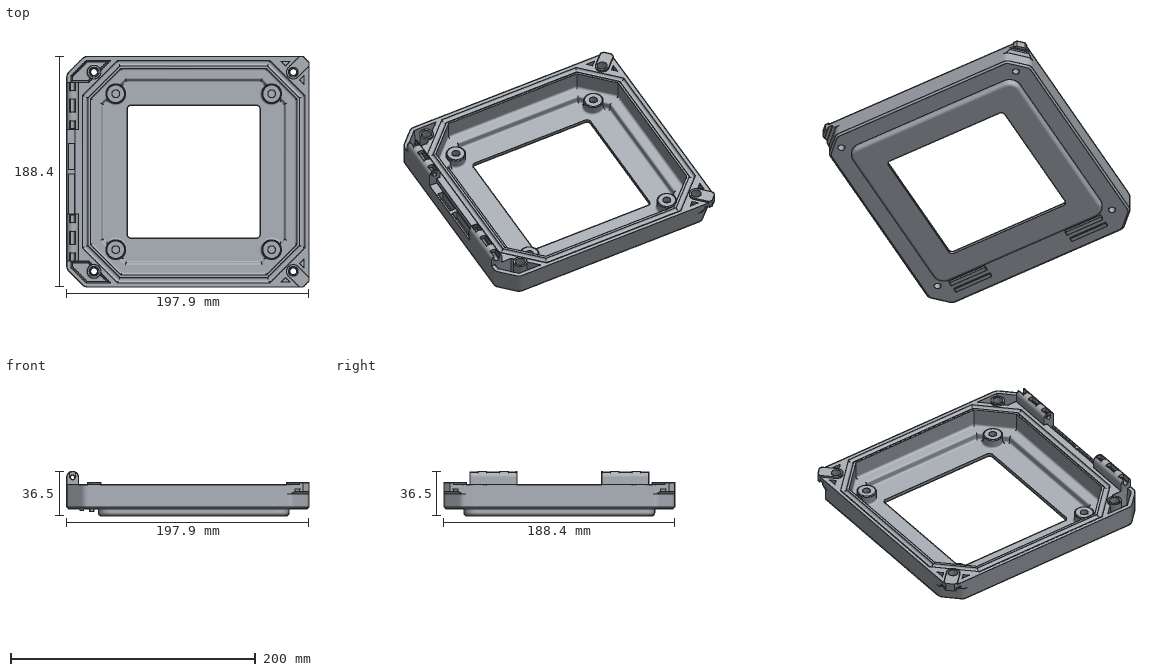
import cadquery as cq
import math

overall_length = 197.9
overall_width = 188.4
frame_half = overall_width / 2
left_edge = frame_half - overall_length
base_z = 6.0
top_z = 25.7
bottom_chamfer = 1.5
corner_leg = 14.6
corner_radius = 6.7

octagon_leg = 30.7
groove_inset = 3.4
groove_width = 4.5
groove_radius = 2.0
cavity_inset = 9.9
cavity_floor_z = 9.1
cavity_fillet = 2.0
recess_inset = 19.4
recess_taper = 3.0
recess_fillet = 1.5

panel_size = 155.7
panel_radius = 9.9
panel_bottom_fillet = 2.8
floor_thickness = 3.0
window_size = 108.5
window_radius = 3.2

boss_spacing = 127.2
boss_diameter = 16.0
boss_top_z = 11.9
boss_top_chamfer = 0.8
boss_foot_fillet = 1.8
boss_hole_diameter = 6.3
boss_hole_depth = 6.0

screw_spacing = 162.6
screw_hole_diameter = 5.5
screw_recess_diameter = 8.0
screw_recess_depth = 11.9
pad_diameter = 11.0
pad_top_z = 27.3

pocket_inset = 3.4
pocket_floor_z = 9.9
pocket_taper = 5.0
pocket_rib = 4.0
column_foot_fillet = 1.4

overhang = 7.0
overhang_root_z = 18.0
overhang_underside_z = 20.2
overhang_overlap = 6.0
pry_groove_width = 2.8
pry_groove_depth = 2.0

triangle_depth = 9.9
triangle_inset = 4.2
triangle_rib = 2.5
triangle_pad_gap = 2.5

hinge_width = 9.7
hinge_inner_y = 34.5
hinge_outer_y = 73.0
hinge_top_z = 36.5
pin_diameter = 3.5
slot_width = 4.7
slot_spans = [(35.2, 41.5), (48.7, 59.4), (66.3, hinge_outer_y)]

ledge_z = 20.8
ledge_width = 6.7
ledge_lip = 1.5
ledge_pocket_width = 4.7
ledge_pocket_depth = 8.0
ledge_pocket_spans = [(1.8, 23.0), (-hinge_inner_y, -1.8)]

bar_inner_y = 37.4
bar_outer_y = 70.6
bar_sizes = [(10.7, 3.2, 1.5), (18.8, 3.4, 2.4)]

ROOT2 = math.sqrt(2)
octagon_sum = 2 * frame_half - octagon_leg
overhang_root = (2 * frame_half - corner_leg) / ROOT2
overhang_tip = overhang_root + overhang


def box(x0, x1, y0, y1, z0, z1):
    return cq.Workplane("XY").box(x1 - x0, y1 - y0, z1 - z0, centered=False).translate((x0, y0, z0))


def rod(diameter, x, y, z0, z1):
    return cq.Workplane("XY", origin=(x, y, z0)).circle(diameter / 2).extrude(z1 - z0)


def post(diameter, x, y, z0, z1, foot):
    """Round post whose foot flares out in a fillet of radius `foot`."""
    radius = diameter / 2
    arc_middle = foot * (1 - 1 / ROOT2)
    profile = (
        cq.Workplane("XZ")
        .moveTo(0, z0)
        .lineTo(radius + foot, z0)
        .threePointArc((radius + arc_middle, z0 + arc_middle), (radius, z0 + foot))
        .lineTo(radius, z1)
        .lineTo(0, z1)
        .close()
    )
    return profile.revolve(360, (0, 0, 0), (0, 1, 0)).translate((x, y, 0))


def both_sides(shape):
    """The shape together with its mirror image across the XZ plane."""
    return shape.union(shape.mirror("XZ"))


def turned_to_corner(shape):
    """Turns a shape built along +X to the (+X, +Y) diagonal and trims it to the frame square."""
    turned = shape.rotate((0, 0, 0), (0, 0, 1), 45)
    return turned.intersect(box(0, frame_half, 0, frame_half, 0, pad_top_z))


def square_pattern(spacing):
    return [(sx * spacing / 2, sy * spacing / 2) for sx in (-1, 1) for sy in (-1, 1)]


def octagon(inset, z):
    half = frame_half - inset
    short = octagon_sum - inset * ROOT2 - half
    points = [
        (half, -short), (half, short), (short, half), (-short, half),
        (-half, short), (-half, -short), (-short, -half), (short, -half),
    ]
    return cq.Workplane("XY", origin=(0, 0, z)).polyline(points).close()


def frame_block():
    block = box(left_edge, frame_half, -frame_half, frame_half, base_z, top_z)
    block = block.edges("|Z").chamfer(corner_leg)
    block = block.edges("|Z").fillet(corner_radius)
    return block.faces("<Z").edges().chamfer(bottom_chamfer)


def panel():
    plate = cq.Workplane("XY").rect(panel_size, panel_size).extrude(cavity_floor_z)
    plate = plate.edges("|Z").fillet(panel_radius)
    return plate.faces("<Z").edges().fillet(panel_bottom_fillet)


def window():
    opening = cq.Workplane("XY").rect(window_size, window_size).extrude(floor_thickness)
    return opening.edges("|Z").fillet(window_radius)


def gasket_groove():
    """Groove around the rim: two quarter arcs joined by a narrow flat bottom."""
    centre_inset = groove_inset + groove_width / 2
    start_y = frame_half - octagon_sum + centre_inset * (ROOT2 - 1)
    half = groove_width / 2
    flat_half = half - groove_radius
    arc_x = flat_half + groove_radius / ROOT2
    arc_z = -groove_radius / ROOT2
    section = (
        cq.Workplane("XZ", origin=(frame_half - centre_inset, start_y, top_z))
        .moveTo(-half, 0)
        .threePointArc((-arc_x, arc_z), (-flat_half, -groove_radius))
        .lineTo(flat_half, -groove_radius)
        .threePointArc((arc_x, arc_z), (half, 0))
        .close()
    )
    return section.sweep(octagon(centre_inset, top_z), transition="right")


def interior():
    """Space inside the walls: the main cavity and the rounded step down to the window panel."""
    cavity = octagon(cavity_inset, cavity_floor_z).extrude(top_z - cavity_floor_z)
    cavity = cavity.faces("<Z").edges().fillet(cavity_fillet)
    recess_depth = cavity_floor_z - floor_thickness
    recess = octagon(recess_inset, cavity_floor_z).extrude(-recess_depth, taper=recess_taper)
    recess = recess.faces("<Z").edges().fillet(recess_fillet)
    reach = (panel_size / 2 + frame_half - cavity_inset - cavity_fillet) / 2
    rim = cq.selectors.BoxSelector(
        (-reach, -reach, cavity_floor_z - recess_fillet / 2),
        (reach, reach, cavity_floor_z + recess_fillet / 2),
        boundingbox=True,
    )
    return cavity.union(recess).edges(rim).fillet(recess_fillet)


def corner_overhang():
    """Corner block over the chamfered frame corner, with a pry groove in its underside."""
    inner = overhang_root - overhang_overlap
    groove_start = overhang_root + overhang_underside_z - overhang_root_z
    groove_end = groove_start + pry_groove_width
    groove_top_z = overhang_underside_z + pry_groove_depth
    points = [
        (inner, overhang_root_z),
        (overhang_root, overhang_root_z),
        (groove_start, overhang_underside_z),
        (groove_start, groove_top_z),
        (groove_end, groove_top_z),
        (groove_end, overhang_underside_z),
        (overhang_tip, overhang_underside_z),
        (overhang_tip, top_z),
        (inner, top_z),
    ]
    block = cq.Workplane("XZ").polyline(points).close().extrude(2 * corner_leg, both=True)
    return turned_to_corner(block)


def corner_pad():
    """Raised strip around the screw, running out to the overhanging corner."""
    screw = screw_spacing / ROOT2
    strip = box(screw, overhang_tip, -pad_diameter / 2, pad_diameter / 2, top_z, pad_top_z)
    return turned_to_corner(strip.union(rod(pad_diameter, screw, 0, top_z, pad_top_z)))


def corner_triangles():
    """Pair of triangular pockets between the pad, the groove and the frame sides."""
    outer = frame_half - triangle_inset
    rib_sum = octagon_sum + triangle_rib * ROOT2
    pad_difference = (pad_diameter / 2 + triangle_pad_gap) * ROOT2
    point_x = (rib_sum - pad_difference) / 2
    points = [
        (rib_sum - outer, outer),
        (outer - pad_difference, outer),
        (point_x, rib_sum - point_x),
    ]
    swapped = [(y, x) for x, y in points]
    plane = cq.Workplane("XY", origin=(0, 0, top_z))
    return plane.polyline(points).close().polyline(swapped).close().extrude(-triangle_depth)


def corner_pocket():
    """Deep tapered pocket between the hinge, the outer walls and the octagon rib."""
    left = left_edge + pocket_inset
    outer = frame_half - pocket_inset
    chamfer_sum = frame_half - left_edge - corner_leg - pocket_inset * ROOT2
    rib_sum = octagon_sum + (pocket_rib - groove_inset) * ROOT2
    points = [
        (left, hinge_outer_y),
        (left, chamfer_sum + left),
        (outer - chamfer_sum, outer),
        (outer - rib_sum, outer),
        (hinge_outer_y - rib_sum, hinge_outer_y),
    ]
    outline = cq.Workplane("XY", origin=(0, 0, top_z)).polyline(points).close()
    return outline.extrude(pocket_floor_z - top_z, taper=pocket_taper)


def knuckle():
    """Round-topped hinge knuckle with a pin bore and slots from the top down to the bore."""
    radius = hinge_width / 2
    axis_x = left_edge + radius
    axis_z = hinge_top_z - radius
    length = hinge_outer_y - hinge_inner_y
    end_plane = cq.Workplane("XZ", origin=(axis_x, hinge_outer_y, axis_z))
    body = box(left_edge, left_edge + hinge_width, hinge_inner_y, hinge_outer_y, ledge_z, axis_z)
    body = body.union(end_plane.circle(radius).extrude(length))
    body = body.cut(end_plane.circle(pin_diameter / 2).extrude(length))
    slot_left = axis_x - slot_width / 2
    for y0, y1 in slot_spans:
        body = body.cut(box(slot_left, slot_left + slot_width, y0, y1, axis_z, hinge_top_z))
    return body


def ledge():
    """Step in the outer edge between the knuckles, with two pockets sunk into it."""
    step = box(left_edge, left_edge + ledge_width, -hinge_inner_y, hinge_inner_y, ledge_z, top_z)
    x0 = left_edge + ledge_lip
    for y0, y1 in ledge_pocket_spans:
        step = step.union(box(x0, x0 + ledge_pocket_width, y0, y1, ledge_z - ledge_pocket_depth, ledge_z))
    return step


result = frame_block().union(panel())
result = result.union(both_sides(corner_overhang()))
result = result.union(both_sides(corner_pad()))
result = result.cut(interior()).cut(gasket_groove()).cut(window())
result = result.cut(both_sides(corner_triangles()))
result = result.cut(both_sides(corner_pocket()))

result = result.cut(ledge())
result = result.union(both_sides(knuckle()))
for offset, width, height in bar_sizes:
    x0 = left_edge + offset
    bar = box(x0, x0 + width, bar_inner_y, bar_outer_y, base_z - height, base_z)
    result = result.union(both_sides(bar))

for x, y in square_pattern(boss_spacing):
    boss = post(boss_diameter, x, y, floor_thickness, boss_top_z, boss_foot_fillet)
    boss = boss.faces(">Z").chamfer(boss_top_chamfer)
    result = result.union(boss)
    result = result.cut(rod(boss_hole_diameter, x, y, boss_top_z - boss_hole_depth, boss_top_z))

for x, y in square_pattern(screw_spacing):
    if x < 0:
        result = result.union(post(pad_diameter, x, y, pocket_floor_z, pad_top_z, column_foot_fillet))
    result = result.cut(rod(screw_hole_diameter, x, y, base_z, pad_top_z))
    result = result.cut(rod(screw_recess_diameter, x, y, pad_top_z - screw_recess_depth, pad_top_z))